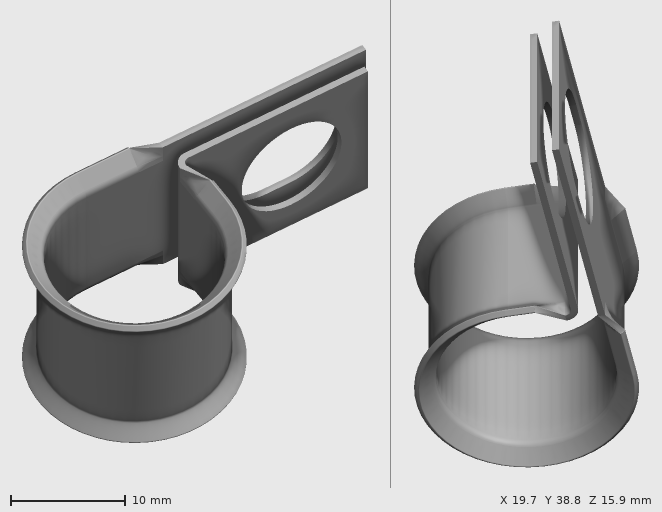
import cadquery as cq
import math

WIDTH = 15.875
INNER_RADIUS = 7.9375
THICKNESS = 0.635
LOOP_ANGLE = 270
LIP_RADIUS = 9.855
LIP_ANGLE = math.radians(45)
KNEE_OUTER_RADIUS = 0.254
TIP_ROUNDING = 0.1
OUTER_TAB_END = 28.955
TAB_END_STEP = 1.17
TAB_GAP = 1.55
BEND_INNER_RADIUS = 0.635
RUNOUT_LENGTH = 2.54
HOLE_DIAMETER = 10.32
SLOT_LENGTH = 12.8
HOLE_END_DISTANCE = 9.08
MATCH_TOLERANCE = 1e-6

OUTER_RADIUS = INNER_RADIUS + THICKNESS
HALF_WIDTH = WIDTH / 2
LIP_RISE = THICKNESS * math.sin(LIP_ANGLE)
LIP_INSET = THICKNESS * math.cos(LIP_ANGLE)
TIP_OVERSHOOT = TIP_ROUNDING * (math.sqrt(2) - 1)
TIP_Z = HALF_WIDTH - LIP_RISE
OUTER_KNEE_Z = TIP_Z - (LIP_RADIUS - OUTER_RADIUS) / math.tan(LIP_ANGLE)
INNER_KNEE_Z = OUTER_KNEE_Z + THICKNESS * math.tan(LIP_ANGLE / 2)
KNEE_INNER_RADIUS = KNEE_OUTER_RADIUS + THICKNESS
BEND_OUTER_RADIUS = BEND_INNER_RADIUS + THICKNESS
INNER_TAB_X = -INNER_RADIUS + TAB_GAP
BEND_X = INNER_TAB_X + BEND_OUTER_RADIUS
BEND_Y = INNER_RADIUS + BEND_OUTER_RADIUS
INNER_TAB_END = OUTER_TAB_END - TAB_END_STEP
OUTER_RUNOUT_END = INNER_RADIUS
OUTER_RUNOUT_START = OUTER_RUNOUT_END - RUNOUT_LENGTH
INNER_RUNOUT_START = BEND_X + RUNOUT_LENGTH
HOLE_Y = OUTER_TAB_END - HOLE_END_DISTANCE


def symmetric_outline(inner_side, outer_side, place):
    """Closed section from (radius, z) points of the upper half, listed from low to high Z."""
    upper_half = inner_side + outer_side[::-1]
    lower_half = [(radius, -z) for radius, z in reversed(upper_half)]
    corners = [place(radius, z) for radius, z in upper_half + lower_half]
    return cq.Wire.makePolygon(corners, close=True)


def round_corners(wire, radius, corners, place):
    """Round a wire at the given (radius, z) corners and at their mirror images in Z."""
    targets = [place(r, side * z) for r, z in corners for side in (1, -1)]
    vertices = [
        vertex
        for vertex in wire.Vertices()
        if any((vertex.Center() - target).Length < MATCH_TOLERANCE for target in targets)
    ]
    return wire.fillet2D(radius, vertices)


def lipped_section(place, rounded_tips):
    """Section with both edges flared outwards, with rounded bends and optionally rounded tips."""
    inner_knee = (INNER_RADIUS, INNER_KNEE_Z)
    outer_knee = (OUTER_RADIUS, OUTER_KNEE_Z)
    overshoot = TIP_OVERSHOOT if rounded_tips else 0
    inner_tip = (LIP_RADIUS - LIP_INSET + overshoot, HALF_WIDTH + overshoot)
    outer_tip = (LIP_RADIUS + overshoot, TIP_Z + overshoot)
    wire = symmetric_outline([inner_knee, inner_tip], [outer_knee, outer_tip], place)
    wire = round_corners(wire, KNEE_INNER_RADIUS, [inner_knee], place)
    wire = round_corners(wire, KNEE_OUTER_RADIUS, [outer_knee], place)
    if rounded_tips:
        wire = round_corners(wire, TIP_ROUNDING, [inner_tip, outer_tip], place)
    return wire


def flat_section(place):
    """Plain rectangular section, split at the heights where the lip bends start and end."""
    def split_side(radius, knee_z, bend_radius):
        tangent = bend_radius * math.tan(LIP_ANGLE / 2)
        bend_start = knee_z - tangent
        bend_end = knee_z + tangent * math.cos(LIP_ANGLE)
        return [(radius, bend_start), (radius, bend_end), (radius, HALF_WIDTH)]

    inner_side = split_side(INNER_RADIUS, INNER_KNEE_Z, KNEE_INNER_RADIUS)
    outer_side = split_side(OUTER_RADIUS, OUTER_KNEE_Z, KNEE_OUTER_RADIUS)
    return symmetric_outline(inner_side, outer_side, place)


def on_outer_tab_side(y):
    """Place section points across the -X leg at the given Y."""
    return lambda radius, z: cq.Vector(-radius, y, z)


def on_inner_tab_side(x):
    """Place section points across the +Y leg at the given X."""
    return lambda radius, z: cq.Vector(x, radius, z)


def lipped_loop():
    """Three quarters of a turn, from the -X side round to the +Y side."""
    section = lipped_section(on_outer_tab_side(0), rounded_tips=True)
    return cq.Solid.revolve(section, [], LOOP_ANGLE, cq.Vector(0, 0, 0), cq.Vector(0, 0, 1))


def lipped_leg(place_on_side, length, direction):
    """Straight lipped stretch leaving the loop along a tangent."""
    section = lipped_section(place_on_side(0), rounded_tips=True)
    return cq.Solid.extrudeLinear(section, [], direction * length)


def runout(place_on_side, start, end):
    """Stretch where the lips flatten out into the plain strap."""
    lipped_end = lipped_section(place_on_side(start), rounded_tips=False)
    flat_end = flat_section(place_on_side(end))
    return cq.Solid.makeLoft([lipped_end, flat_end], True)


def outer_tab():
    """Flat tab on the -X side with a slot along Y."""
    tab = (
        cq.Workplane("XY", origin=(0, 0, -HALF_WIDTH))
        .moveTo(-OUTER_RADIUS, OUTER_RUNOUT_END)
        .lineTo(-INNER_RADIUS, OUTER_RUNOUT_END)
        .lineTo(-INNER_RADIUS, OUTER_TAB_END)
        .lineTo(-OUTER_RADIUS, OUTER_TAB_END)
        .close()
        .extrude(WIDTH)
    )
    slot = (
        cq.Workplane("YZ", origin=(-OUTER_RADIUS, HOLE_Y, 0))
        .slot2D(SLOT_LENGTH, HOLE_DIAMETER)
        .extrude(THICKNESS)
    )
    return tab.cut(slot).val()


def inner_tab():
    """Bend out of the loop followed by a flat tab with a round hole."""
    tab = (
        cq.Workplane("XY", origin=(0, 0, -HALF_WIDTH))
        .moveTo(BEND_X, INNER_RADIUS)
        .radiusArc((INNER_TAB_X, BEND_Y), BEND_OUTER_RADIUS)
        .lineTo(INNER_TAB_X, INNER_TAB_END)
        .lineTo(INNER_TAB_X + THICKNESS, INNER_TAB_END)
        .lineTo(INNER_TAB_X + THICKNESS, BEND_Y)
        .radiusArc((BEND_X, OUTER_RADIUS), -BEND_INNER_RADIUS)
        .close()
        .extrude(WIDTH)
    )
    hole = (
        cq.Workplane("YZ", origin=(INNER_TAB_X, HOLE_Y, 0))
        .circle(HOLE_DIAMETER / 2)
        .extrude(THICKNESS)
    )
    return tab.cut(hole).val()


strap_pieces = [
    lipped_leg(on_outer_tab_side, OUTER_RUNOUT_START, cq.Vector(0, 1, 0)),
    runout(on_outer_tab_side, OUTER_RUNOUT_START, OUTER_RUNOUT_END),
    outer_tab(),
    lipped_leg(on_inner_tab_side, -INNER_RUNOUT_START, cq.Vector(-1, 0, 0)),
    runout(on_inner_tab_side, INNER_RUNOUT_START, BEND_X),
    inner_tab(),
]
result = cq.Workplane("XY").newObject([lipped_loop()])
for piece in strap_pieces:
    result = result.union(cq.Workplane("XY").newObject([piece]))